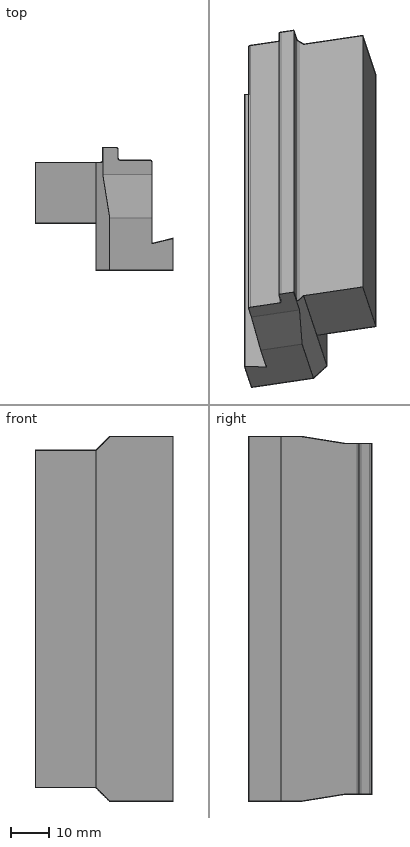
import cadquery as cq

width = 35.9
depth = 32.0
length = 95.0

body_left = 15.8
lip_left = 17.5
lip_right = 21.6
web_right = 30.4

bar_front = 12.3
bar_back = 28.1
ledge_back = 28.7
hook_root = 7.0
hook_tip = 8.4

end_chamfer = 3.6
end_step = 1.8
slope_front = 13.7
slope_back = 24.9

edge_radius = 0.6
lip_root_radius = 0.5


def make_body():
    """Extruded profile with a rear lip and a front hook."""
    outline = [
        (body_left, 0),
        (width, 0),
        (width, hook_tip),
        (web_right, hook_root),
        (web_right, ledge_back),
        (lip_right, ledge_back),
        (lip_right, depth),
        (lip_left, depth),
        (lip_left, bar_back),
        (body_left, bar_back),
    ]
    body = cq.Workplane("XY").polyline(outline).close().extrude(length)
    rounded_corners = [
        (web_right, ledge_back, edge_radius),
        (lip_right, ledge_back, edge_radius),
        (lip_right, depth, edge_radius),
        (lip_left, bar_back, lip_root_radius),
    ]
    for x, y, radius in rounded_corners:
        corner = cq.selectors.NearestToPointSelector((x, y, length / 2))
        body = body.edges(corner).fillet(radius)
    return body


def make_side_envelope():
    """Side outline: both ends slope down towards the rear lip."""
    outline = [
        (0, 0),
        (slope_front, 0),
        (slope_back, end_step),
        (depth, end_step),
        (depth, length - end_step),
        (slope_back, length - end_step),
        (slope_front, length),
        (0, length),
    ]
    return cq.Workplane("YZ").polyline(outline).close().extrude(width)


def make_front_envelope():
    """Front outline: 45 degree chamfers at both ends of the body."""
    outline = [
        (body_left, end_chamfer),
        (body_left + end_chamfer, 0),
        (width, 0),
        (width, length),
        (body_left + end_chamfer, length),
        (body_left, length - end_chamfer),
    ]
    return cq.Workplane("XZ").polyline(outline).close().extrude(-depth)


def make_bar():
    """Side bar spanning the body between its end chamfers."""
    bar_depth = bar_back - bar_front
    bar_length = length - 2 * end_chamfer
    bar = cq.Workplane("XY").box(body_left, bar_depth, bar_length, centered=False)
    return bar.translate((0, bar_front, end_chamfer))


body = make_body().intersect(make_side_envelope()).intersect(make_front_envelope())
result = body.union(make_bar())